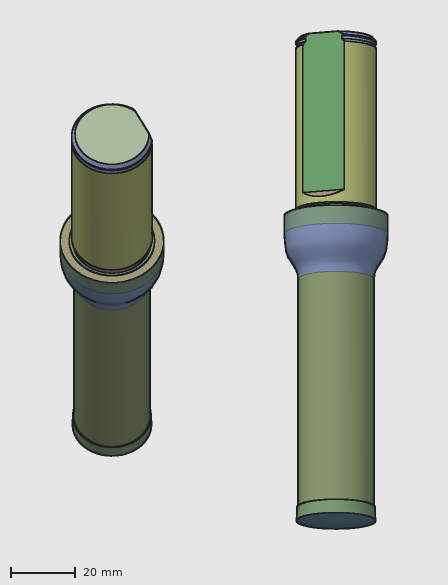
import cadquery as cq

total_length = 153.0
dome_height = 1.0
head_height = 5.4
bulb_bottom = 77.3
collar_bottom = 91.5
collar_top = 97.2
shank_bottom = 98.5

head_diameter = 24.5
head_back_diameter = 24.2
stem_diameter = 23.5
collar_diameter = 32.0
neck_diameter = 24.2
shank_diameter = 25.0

bulb_shoulder = (14.8, 84.3)

shank_chamfer_height = 0.5
face_recess_diameter = 26.3
face_recess_depth = 0.3

end_chamfer_width = 1.0
end_chamfer_height = 1.2
rim_height = 0.3
groove_diameter = 24.0
groove_width = 0.9
groove_chamfer_height = 0.9

flat_offset = 10.4
flat_bottom = 103.0


def make_head():
    """Tapered round head with a shallow domed tip."""
    head_radius = head_diameter / 2
    dome_radius = (head_radius**2 + dome_height**2) / (2 * dome_height)
    dome_mid_x = head_radius / 2
    dome_mid_z = dome_radius - (dome_radius**2 - dome_mid_x**2) ** 0.5

    return (
        cq.Workplane("XZ")
        .threePointArc((dome_mid_x, dome_mid_z), (head_radius, dome_height))
        .lineTo(head_back_diameter / 2, head_height)
        .lineTo(0, head_height)
        .close()
        .revolve(360, (0, 0), (0, 1))
    )


def make_turned_holder():
    """Stem, bulb, collar, neck and grooved shank, turned about Z."""
    stem_radius = stem_diameter / 2
    collar_radius = collar_diameter / 2
    neck_radius = neck_diameter / 2
    shank_radius = shank_diameter / 2
    groove_radius = groove_diameter / 2

    recess_radius = face_recess_diameter / 2
    recess_floor = collar_top - face_recess_depth
    axial = (0, 1)

    rim_top = total_length - end_chamfer_height
    groove_top = rim_top - rim_height
    groove_bottom = groove_top - groove_width

    return (
        cq.Workplane("XZ")
        .moveTo(0, head_height)
        .lineTo(stem_radius, head_height)
        .lineTo(stem_radius, bulb_bottom)
        .spline(
            [bulb_shoulder, (collar_radius, collar_bottom)],
            tangents=[axial, axial],
            includeCurrent=True,
        )
        .lineTo(collar_radius, collar_top)
        .lineTo(recess_radius, collar_top)
        .lineTo(recess_radius, recess_floor)
        .lineTo(neck_radius, recess_floor)
        .lineTo(neck_radius, shank_bottom)
        .lineTo(shank_radius, shank_bottom + shank_chamfer_height)
        .lineTo(shank_radius, groove_bottom - groove_chamfer_height)
        .lineTo(groove_radius, groove_bottom)
        .lineTo(groove_radius, groove_top)
        .lineTo(shank_radius, groove_top)
        .lineTo(shank_radius, rim_top)
        .lineTo(shank_radius - end_chamfer_width, total_length)
        .lineTo(0, total_length)
        .close()
        .revolve(360, (0, 0), (0, 1))
    )


def make_flat_cutter():
    """Prism that leaves the shank flat and its 45 degree run-out."""
    depth = collar_diameter / 2 - flat_offset
    profile = [
        (flat_offset, total_length),
        (flat_offset, flat_bottom),
        (flat_offset + depth, flat_bottom - depth),
        (flat_offset + depth, total_length),
    ]
    return cq.Workplane("YZ").polyline(profile).close().extrude(shank_diameter / 2, both=True)


head = make_head()
holder = make_turned_holder().cut(make_flat_cutter())

result = cq.Compound.makeCompound([head.val(), holder.solids().val()])